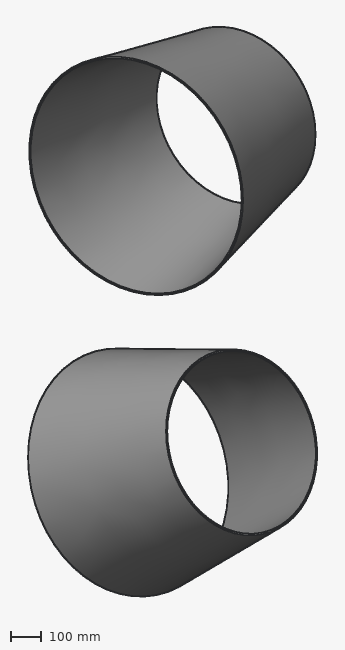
import cadquery as cq

large_diameter = 813.0
small_diameter = 610.0
length = 610.0
wall = 6.0

large_radius = large_diameter / 2
small_radius = small_diameter / 2
wide_end_y = -length / 2
narrow_end_y = length / 2

wall_section = (
    cq.Workplane("XY")
    .moveTo(large_radius - wall, wide_end_y)
    .lineTo(large_radius, wide_end_y)
    .lineTo(small_radius, narrow_end_y)
    .lineTo(small_radius - wall, narrow_end_y)
    .close()
)

result = wall_section.revolve(360, (0, 0, 0), (0, 1, 0))